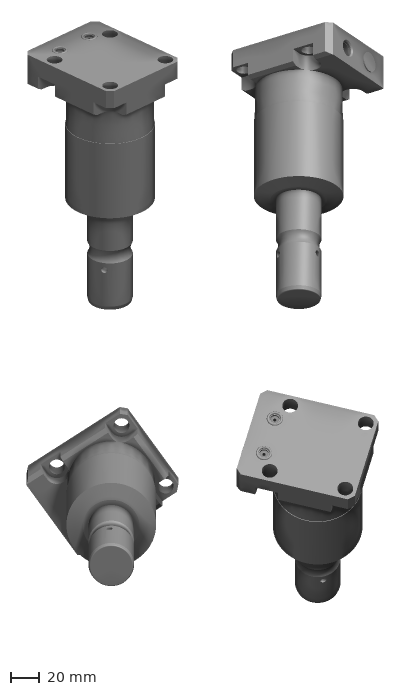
import cadquery as cq
import math


PLATE_RIGHT = 35.5
PLATE_LEFT = -50.3
PLATE_WIDTH = 70.9
PLATE_THICKNESS = 25.0
CORNER_CHAMFER = 4.0
BEVEL_WIDTH = 3.5
BEVEL_HEIGHT = 2.0

BOLT_SPACING = 54.9
BOLT_RADIUS = 5.5
RELIEF_RADIUS = 8.4
RELIEF_TOP = -13.5

PORT_X = -35.0
PORT_Y = 14.5
PORT_DRILL_RADIUS = 1.1
PORT_DRILL_DEPTH = 14.9
PORT_STEP_RADIUS = 3.2
PORT_STEP_DEPTH = 2.0
SEAL_RADIUS = 4.8
SEAL_SECTION_RADIUS = 1.0
SEAL_PROTRUSION = 0.5
SEAL_Z = SEAL_PROTRUSION - SEAL_SECTION_RADIUS

SIDE_PORT_Y = 13.0
SIDE_PORT_Z = -12.4
SIDE_PORT_RADIUS = 5.3
SIDE_PORT_DEPTH = 2.7
SIDE_PORT_INNER_RADIUS = 5.0
SIDE_PORT_END_GAP = 0.8
SIDE_PORT_CHAMFER = 1.0
PLUG_RADIUS = 7.2
PLUG_PROTRUSION = 1.0

NECK_TOP_RADIUS = 30.7
BODY_RADIUS = 31.5
NECK_STEP = 0.4
BODY_TOP = -50.1
BODY_SHOULDER = -109.0
BODY_BOTTOM = -111.9
BODY_BOTTOM_RADIUS = 19.8

ROD_RADIUS = 16.0
OVERALL_HEIGHT = 190.5
ROD_BOTTOM = SEAL_PROTRUSION - OVERALL_HEIGHT
ROD_LEAD_HEIGHT = 3.0
ROD_LEAD_WIDTH = 0.5
ROD_TIP_ROUND = 0.8
GROOVE_TOP = -143.0
GROOVE_BOTTOM = -152.8
GROOVE_DEPTH = 1.5
RADIAL_HOLE_Z = -158.3
RADIAL_HOLE_RADIUS = 2.3
RADIAL_HOLE_COUNT = 3

BOLT_XS = (-BOLT_SPACING / 2, BOLT_SPACING / 2)
SIDES = (-1, 1)


def upright_cylinder(x, y, bottom, top, radius):
    return cq.Workplane("XY", origin=(x, y, bottom)).circle(radius).extrude(top - bottom)


def block(x_range, y_range, z_range):
    limits = [sorted(axis_range) for axis_range in (x_range, y_range, z_range)]
    lengths = [high - low for low, high in limits]
    low_corner = [low for low, high in limits]
    return cq.Workplane("XY", origin=low_corner).box(*lengths, centered=False)


def make_plate():
    half_width = PLATE_WIDTH / 2
    plate = block((PLATE_LEFT, PLATE_RIGHT), (-half_width, half_width), (-PLATE_THICKNESS, 0))
    plate = plate.edges("|Z").chamfer(CORNER_CHAMFER)
    taper = math.degrees(math.atan2(BEVEL_WIDTH, BEVEL_HEIGHT))
    bevel_left = PLATE_LEFT - PLATE_WIDTH
    bevel_length = PLATE_RIGHT - bevel_left
    bevel_center = (PLATE_RIGHT + bevel_left) / 2
    bevel_top = BEVEL_HEIGHT - PLATE_THICKNESS
    bevelled = (
        cq.Workplane("XY", origin=(bevel_center, 0, bevel_top))
        .rect(bevel_length, PLATE_WIDTH)
        .extrude(-BEVEL_HEIGHT, taper=taper)
    )
    upper = block((bevel_left, PLATE_RIGHT), (-half_width, half_width), (bevel_top, 0))
    return plate.intersect(upper.union(bevelled))


def bolt_cut(x, side):
    """Through hole and an open relief running out of the plate edge."""
    y = side * BOLT_SPACING / 2
    outside = side * PLATE_WIDTH
    relief_z = (-PLATE_THICKNESS, RELIEF_TOP)
    cut = upright_cylinder(x, y, -PLATE_THICKNESS, 0, BOLT_RADIUS)
    cut = cut.union(upright_cylinder(x, y, *relief_z, RELIEF_RADIUS))
    cut = cut.union(block((x - RELIEF_RADIUS, x + RELIEF_RADIUS), (y, outside), relief_z))
    if x > 0:
        inner_y = y - side * RELIEF_RADIUS
        cut = cut.union(block((x, 2 * PLATE_RIGHT), (inner_y, outside), relief_z))
    return cut


def make_body():
    groove_middle = (GROOVE_TOP + GROOVE_BOTTOM) / 2
    lead_radius = ROD_RADIUS - ROD_LEAD_WIDTH
    profile = (
        cq.Workplane("XZ")
        .moveTo(0, -PLATE_THICKNESS)
        .lineTo(NECK_TOP_RADIUS, -PLATE_THICKNESS)
        .lineTo(BODY_RADIUS - NECK_STEP, BODY_TOP)
        .lineTo(BODY_RADIUS, BODY_TOP)
        .lineTo(BODY_RADIUS, BODY_SHOULDER)
        .lineTo(BODY_BOTTOM_RADIUS, BODY_BOTTOM)
        .lineTo(ROD_RADIUS, BODY_BOTTOM)
        .lineTo(ROD_RADIUS, GROOVE_TOP)
        .threePointArc((ROD_RADIUS - GROOVE_DEPTH, groove_middle), (ROD_RADIUS, GROOVE_BOTTOM))
        .lineTo(ROD_RADIUS, ROD_BOTTOM + ROD_LEAD_HEIGHT)
        .lineTo(lead_radius, ROD_BOTTOM + ROD_TIP_ROUND)
        .radiusArc((lead_radius - ROD_TIP_ROUND, ROD_BOTTOM), ROD_TIP_ROUND)
        .lineTo(0, ROD_BOTTOM)
        .close()
    )
    return profile.revolve(360, (0, 0, 0), (0, 1, 0))


def radial_hole(angle):
    """Hole from the rod surface to the axis, turned about Z from the -X direction."""
    hole = cq.Workplane("YZ", origin=(0, 0, RADIAL_HOLE_Z)).circle(RADIAL_HOLE_RADIUS)
    return hole.extrude(-2 * ROD_RADIUS).rotate((0, 0, 0), (0, 0, 1), angle)


def port_cut(y):
    """Seal recess, step and narrow drilling below the top face."""
    recess_radius = SEAL_RADIUS + SEAL_SECTION_RADIUS
    cut = upright_cylinder(PORT_X, y, SEAL_Z, 0, recess_radius)
    cut = cut.union(upright_cylinder(PORT_X, y, -PORT_STEP_DEPTH, 0, PORT_STEP_RADIUS))
    return cut.union(upright_cylinder(PORT_X, y, -PORT_DRILL_DEPTH, 0, PORT_DRILL_RADIUS))


def seal_ring(y):
    ring = cq.Solid.makeTorus(SEAL_RADIUS, SEAL_SECTION_RADIUS, cq.Vector(PORT_X, y, SEAL_Z))
    return cq.Workplane(ring)


def side_port_cut():
    """Stepped side port with a chamfered mouth, its flat end breaking into the port drilling."""
    mouth = cq.Workplane("YZ", origin=(PLATE_LEFT, SIDE_PORT_Y, SIDE_PORT_Z))
    bore = mouth.circle(SIDE_PORT_RADIUS).extrude(SIDE_PORT_DEPTH)
    full_depth = PORT_X - SIDE_PORT_END_GAP - PLATE_LEFT
    inner_bore = mouth.circle(SIDE_PORT_INNER_RADIUS).extrude(full_depth)
    chamfer = mouth.circle(SIDE_PORT_RADIUS + SIDE_PORT_CHAMFER).extrude(SIDE_PORT_CHAMFER, taper=45)
    return bore.union(inner_bore).union(chamfer)


def make_plug():
    face = cq.Workplane("YZ", origin=(PLATE_LEFT, -SIDE_PORT_Y, SIDE_PORT_Z))
    return face.circle(PLUG_RADIUS).extrude(-PLUG_PROTRUSION)


plate = make_plate()
for bolt_x in BOLT_XS:
    for side in SIDES:
        plate = plate.cut(bolt_cut(bolt_x, side))

result = plate.union(make_body()).union(make_plug()).cut(side_port_cut())
for side in SIDES:
    result = result.cut(port_cut(side * PORT_Y))
    result = result.union(seal_ring(side * PORT_Y))
for index in range(RADIAL_HOLE_COUNT):
    result = result.cut(radial_hole(index * 360 / RADIAL_HOLE_COUNT))